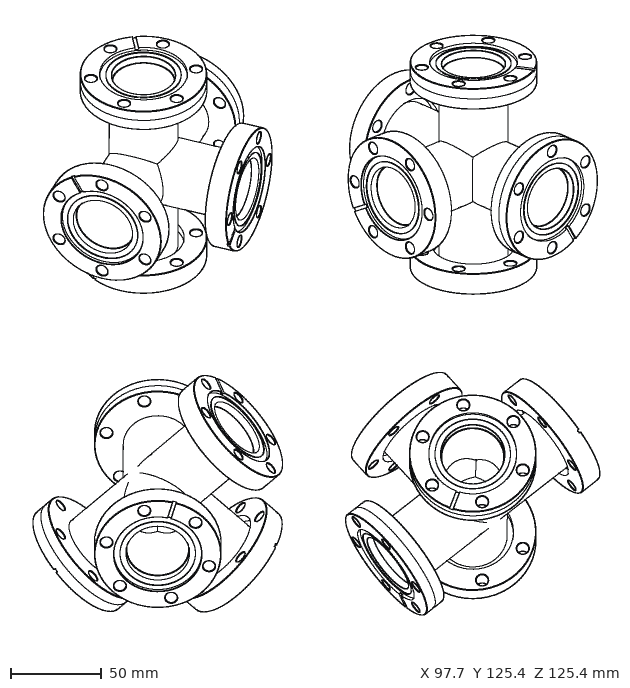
import cadquery as cq
reach = 62.7

tube_outer_radius = 19.0
tube_bore_radius = 17.0
tube_end_depth = 5.5

flange_radius = 35.0
flange_thickness = 12.7
edge_chamfer = 0.4
flange_bore_radius = 17.5

bolt_count = 6
bolt_circle_radius = 29.3
bolt_hole_radius = 3.3
bolt_hole_chamfer = 0.4
first_bolt_angle = 90.0

gasket_radius = 24.2
gasket_depth = 1.9
knife_radius = 20.8
knife_depth = 0.6
inner_face_depth = 1.3
recess_rim_chamfer = 0.3
insert_bore_chamfer = 0.3

leak_groove_width = 2.0
leak_groove_depth = 1.1
leak_groove_angle = 120.0

relief_radius = 22.5
relief_depth = 4.8

rim_groove_half_width = 0.9
rim_groove_depth = 0.3

back = reach - flange_thickness
tube_end = reach - tube_end_depth

x_axis = (1, 0, 0)
y_axis = (0, 1, 0)
z_axis = (0, 0, 1)
origin = (0, 0, 0)
fixed_arms = [
    [(x_axis, 90)],
    [(x_axis, 180)],
    [(y_axis, 90), (x_axis, 180)],
]
rotatable_arms = [
    [],
    [(x_axis, 270)],
]


def on_arm(part, turns):
    """Turn a part built along +Z onto another arm."""
    for axis, angle in turns:
        part = part.rotate(origin, axis, angle)
    return part


def cylinder(radius, bottom, top):
    """Solid cylinder on the Z axis between two heights."""
    return cq.Workplane("XY").workplane(offset=bottom).circle(radius).extrude(top - bottom)


def revolved(points):
    """Solid of revolution about the Z axis from (radius, height) points."""
    return cq.Workplane("XZ").polyline(points).close().revolve(360, (0, 0, 0), (0, 1, 0))


def mouth_bevel(radius, top, size):
    """Cone that bevels the mouth of a round opening by the given size."""
    return revolved([
        (0, top),
        (radius + size, top),
        (radius, top - size),
        (0, top - size),
    ])


def bolt_hole(angle):
    """Cutter for one through hole, chamfered at both faces."""
    mouth_radius = bolt_hole_radius + bolt_hole_chamfer
    cutter = revolved([
        (0, back),
        (mouth_radius, back),
        (bolt_hole_radius, back + bolt_hole_chamfer),
        (bolt_hole_radius, reach - bolt_hole_chamfer),
        (mouth_radius, reach),
        (0, reach),
    ])
    return cutter.translate((bolt_circle_radius, 0, 0)).rotate(origin, z_axis, angle)


def leak_groove():
    """Cutter for the radial leak-check groove; it starts inside the gasket recess."""
    return (
        cq.Workplane("XY")
        .box(flange_radius, leak_groove_width, leak_groove_depth, centered=(False, True, False))
        .translate((gasket_radius - leak_groove_width, 0, reach - leak_groove_depth))
        .rotate(origin, z_axis, leak_groove_angle)
    )


def blank_disc():
    """Chamfered disc with the bolt holes and the leak-check groove."""
    disc = cylinder(flange_radius, back, reach).edges("%CIRCLE").chamfer(edge_chamfer)
    for index in range(bolt_count):
        disc = disc.cut(bolt_hole(first_bolt_angle + 360 / bolt_count * index))
    return disc.cut(leak_groove())


def sealing_core():
    """Middle of the flange in front of the tube end: knife edge around the bore."""
    return revolved([
        (flange_bore_radius, tube_end),
        (flange_bore_radius, reach - inner_face_depth),
        (knife_radius, reach - inner_face_depth),
        (knife_radius, reach - knife_depth),
        (gasket_radius, reach - gasket_depth),
        (gasket_radius, tube_end),
    ])


def make_fixed_flange():
    """One-piece flange with a weld relief at the back."""
    ring = blank_disc().cut(cylinder(gasket_radius, tube_end, reach))
    relief = cylinder(relief_radius, back, back + relief_depth)
    tube_socket = cylinder(tube_outer_radius, back, tube_end)
    rim_bevel = mouth_bevel(gasket_radius, reach, recess_rim_chamfer)
    return ring.cut(rim_bevel).cut(relief).cut(tube_socket).union(sealing_core())


def make_rotatable_ring():
    """Outer ring that turns on the insert, with a V groove around its rim."""
    groove_height = back + flange_thickness / 2
    rim_groove = revolved([
        (flange_radius - rim_groove_depth, groove_height),
        (flange_radius, groove_height + rim_groove_half_width),
        (flange_radius + rim_groove_depth, groove_height),
        (flange_radius, groove_height - rim_groove_half_width),
    ])
    insert_seat = cylinder(gasket_radius, tube_end, reach)
    tube_clearance = cylinder(tube_outer_radius, back, tube_end)
    return blank_disc().cut(insert_seat).cut(tube_clearance).cut(rim_groove)


def make_insert():
    """Weld insert carried inside a rotatable ring, with a bevelled bore mouth."""
    bore_bevel = mouth_bevel(flange_bore_radius, reach - inner_face_depth, insert_bore_chamfer)
    return sealing_core().cut(bore_bevel)


def make_cross_tube():
    """Five tubes joined at the origin, hollow throughout."""
    arms = fixed_arms + rotatable_arms
    body = on_arm(cylinder(tube_outer_radius, 0, tube_end), arms[0])
    for turns in arms[1:]:
        body = body.union(on_arm(cylinder(tube_outer_radius, 0, tube_end), turns))
    for turns in arms:
        body = body.cut(on_arm(cylinder(tube_bore_radius, 0, tube_end), turns))
    return body


cross_tube = make_cross_tube()
fixed_flanges = [on_arm(make_fixed_flange(), turns) for turns in fixed_arms]
rotatable_rings = [on_arm(make_rotatable_ring(), turns) for turns in rotatable_arms]
inserts = [on_arm(make_insert(), turns) for turns in rotatable_arms]

flange_bodies = fixed_flanges + rotatable_rings + inserts
result = cq.Compound.makeCompound([cross_tube.val(), *[body.val() for body in flange_bodies]])